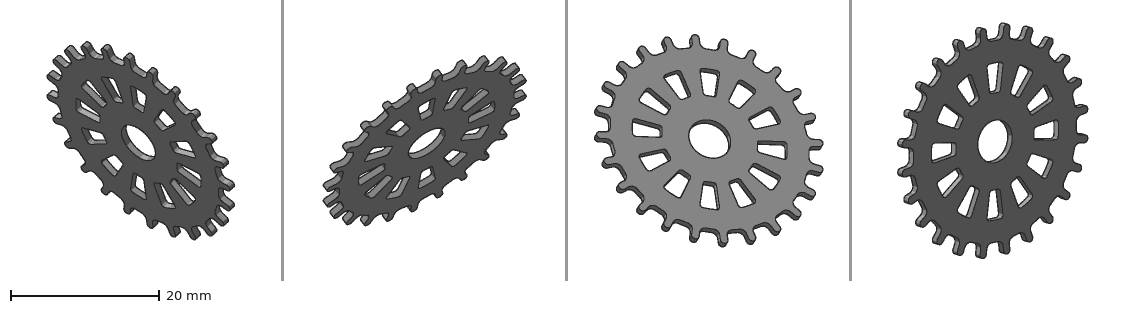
import cadquery as cq
import math

outer_size = 31.97
thickness = 1.0
bore_diameter = 5.9

tooth_count = 24
tooth_width = 1.1
root_radius = 14.05
root_fillet = 0.85

window_count = 12
window_inner_radius = 6.75
window_outer_radius = 10.93
window_fillet = 0.45

tooth_pitch = 360.0 / tooth_count
first_tooth_angle = tooth_pitch / 2

window_pitch = 360.0 / window_count
window_span = window_pitch / 2

tip_radius = tooth_width / 2
tip_center_radius = (outer_size / 2 - tip_radius) / math.cos(math.radians(first_tooth_angle))


def polar(radius, angle):
    """Point at a radius, with the angle in degrees measured from +X towards +Z."""
    return (radius * math.cos(math.radians(angle)), radius * math.sin(math.radians(angle)))


def make_disc(radius):
    """Full-thickness disc about the Y axis."""
    return cq.Workplane("XZ").circle(radius).extrude(thickness / 2, both=True)


def make_tooth(angle):
    """Straight radial tooth with a fully rounded tip, rooted inside the disc."""
    base_radius = root_radius - tooth_width
    tooth = (
        cq.Workplane("XZ")
        .moveTo(base_radius, -tip_radius)
        .lineTo(tip_center_radius, -tip_radius)
        .threePointArc((tip_center_radius + tip_radius, 0), (tip_center_radius, tip_radius))
        .lineTo(base_radius, tip_radius)
        .close()
        .extrude(thickness / 2, both=True)
    )
    return tooth.rotate((0, 0, 0), (0, 1, 0), -angle)


def fillet_tooth_roots(toothed_disc):
    """Round the corners where the teeth meet the disc, leaving the tooth tips alone."""
    root_limit = (root_radius + tip_center_radius) / 2
    return (
        toothed_disc.edges("|Y")
        .filter(lambda edge: math.hypot(edge.Center().x, edge.Center().z) < root_limit)
        .fillet(root_fillet)
    )


def make_window(angle):
    """Ring sector with radial sides, concentric ends and rounded corners."""
    start = angle - window_span / 2
    end = angle + window_span / 2
    return (
        cq.Workplane("XZ")
        .moveTo(*polar(window_inner_radius, start))
        .lineTo(*polar(window_outer_radius, start))
        .threePointArc(polar(window_outer_radius, angle), polar(window_outer_radius, end))
        .lineTo(*polar(window_inner_radius, end))
        .threePointArc(polar(window_inner_radius, angle), polar(window_inner_radius, start))
        .close()
        .extrude(thickness / 2, both=True)
        .edges("|Y")
        .fillet(window_fillet)
    )


plate = make_disc(root_radius)
for tooth_index in range(tooth_count):
    plate = plate.union(make_tooth(first_tooth_angle + tooth_index * tooth_pitch))
plate = fillet_tooth_roots(plate)

plate = plate.cut(make_disc(bore_diameter / 2))

for window_index in range(window_count):
    plate = plate.cut(make_window(window_index * window_pitch))

result = plate